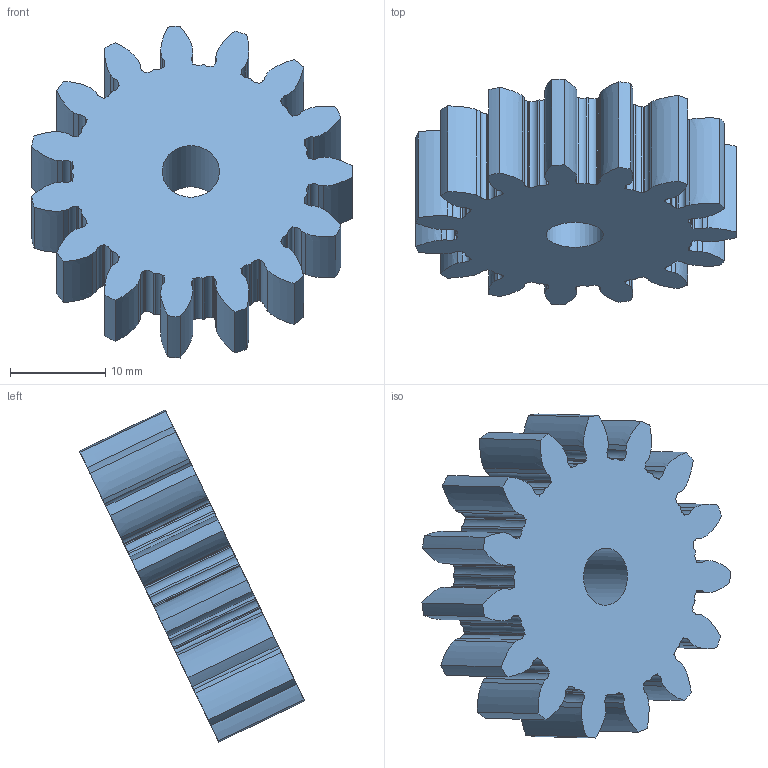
import cadquery as cq
import math

MODULE = 2.0
TEETH = 15
PRESSURE_ANGLE = 20.0
ADDENDUM = 1.0 * MODULE
DEDENDUM = 1.25 * MODULE
FACE_WIDTH = 10.0
BORE_DIAMETER = 6.01

AXIS_TILT = 25.6

RELIEF_RADIUS = 0.38 * MODULE
RELIEF_CENTER_RADIUS = 13.13
RELIEF_OFFSET = math.radians(2.44)

INVOLUTE_STEPS = 8

PITCH_RADIUS = MODULE * TEETH / 2
TIP_RADIUS = PITCH_RADIUS + ADDENDUM
ROOT_RADIUS = PITCH_RADIUS - DEDENDUM
BASE_RADIUS = PITCH_RADIUS * math.cos(math.radians(PRESSURE_ANGLE))
PITCH_STEP = 2 * math.pi / TEETH
HALF_STEP = PITCH_STEP / 2
RELIEF_ANGLE = HALF_STEP - RELIEF_OFFSET


def polar(radius, angle):
    return (radius * math.cos(angle), radius * math.sin(angle))


def involute_angle(radius):
    """Polar angle swept by the involute from the base circle to the radius."""
    pressure = math.acos(BASE_RADIUS / radius)
    return math.tan(pressure) - pressure


BASE_HALF_ANGLE = PITCH_STEP / 4 + involute_angle(PITCH_RADIUS)

RELIEF_ACROSS = RELIEF_CENTER_RADIUS * math.sin(RELIEF_ANGLE - BASE_HALF_ANGLE)
RELIEF_ALONG = RELIEF_CENTER_RADIUS * math.cos(RELIEF_ANGLE - BASE_HALF_ANGLE)


def flank_points():
    """(radius, angle from the tooth centre) along one flank, base to tip."""
    points = []
    for step in range(INVOLUTE_STEPS + 1):
        radius = BASE_RADIUS + (TIP_RADIUS - BASE_RADIUS) * step / INVOLUTE_STEPS
        points.append((radius, BASE_HALF_ANGLE - involute_angle(radius)))
    return points


def relief_crossings():
    """Where the relief circle crosses the root circle and the radial lower flank.

    Returns the half angle between the two root crossings, seen from the gear
    axis, and the radii of the lower and upper flank crossings.
    """
    cosine = (ROOT_RADIUS**2 + RELIEF_CENTER_RADIUS**2 - RELIEF_RADIUS**2) / (
        2 * ROOT_RADIUS * RELIEF_CENTER_RADIUS
    )
    root_half_angle = math.acos(cosine)

    half_chord = math.sqrt(RELIEF_RADIUS**2 - RELIEF_ACROSS**2)
    return root_half_angle, RELIEF_ALONG - half_chord, RELIEF_ALONG + half_chord


def relief_side():
    """(radius, angle) of the relief point farthest into the tooth, square to the flank."""
    across = RELIEF_ACROSS - RELIEF_RADIUS
    return math.hypot(across, RELIEF_ALONG), BASE_HALF_ANGLE + math.atan2(across, RELIEF_ALONG)


def add_tooth(outline, center):
    """Continue the outline counter-clockwise over one tooth and the next root land.

    The relief circle dips below the root circle, leaves a narrow root land
    at the foot of the tooth and then undercuts the radial lower flank.
    """
    root_half_angle, lower_radius, upper_radius = relief_crossings()
    outer_angle = RELIEF_ANGLE + root_half_angle
    inner_angle = RELIEF_ANGLE - root_half_angle
    foot_angle = (inner_angle + BASE_HALF_ANGLE) / 2

    outer = (ROOT_RADIUS, outer_angle)
    bottom = (RELIEF_CENTER_RADIUS - RELIEF_RADIUS, RELIEF_ANGLE)
    inner = (ROOT_RADIUS, inner_angle)
    foot_middle = (ROOT_RADIUS, foot_angle)
    foot = (ROOT_RADIUS, BASE_HALF_ANGLE)
    lower = (lower_radius, BASE_HALF_ANGLE)
    side = relief_side()
    upper = (upper_radius, BASE_HALF_ANGLE)
    flank = flank_points()
    tip_corner_angle = flank[-1][1]

    def rising(point):
        return polar(point[0], center - point[1])

    def falling(point):
        return polar(point[0], center + point[1])

    outline = outline.threePointArc(rising(bottom), rising(inner))
    outline = outline.threePointArc(rising(foot_middle), rising(foot))
    outline = outline.lineTo(*rising(lower))
    outline = outline.threePointArc(rising(side), rising(upper))
    outline = outline.lineTo(*rising(flank[0]))
    outline = outline.spline([rising(point) for point in flank[1:]], includeCurrent=True)
    outline = outline.threePointArc(polar(TIP_RADIUS, center), polar(TIP_RADIUS, center + tip_corner_angle))
    outline = outline.spline([falling(point) for point in flank[-2::-1]], includeCurrent=True)
    outline = outline.lineTo(*falling(upper))
    outline = outline.threePointArc(falling(side), falling(lower))
    outline = outline.lineTo(*falling(foot))
    outline = outline.threePointArc(falling(foot_middle), falling(inner))
    outline = outline.threePointArc(falling(bottom), falling(outer))

    next_start = polar(ROOT_RADIUS, center + PITCH_STEP - outer_angle)
    return outline.threePointArc(polar(ROOT_RADIUS, center + HALF_STEP), next_start)


def make_gear(plane):
    """Gear centred on the plane origin, with the first tooth along the plane's X."""
    root_half_angle = relief_crossings()[0]
    start = polar(ROOT_RADIUS, -RELIEF_ANGLE - root_half_angle)
    back_face = cq.Workplane(plane).workplane(offset=-FACE_WIDTH / 2)
    outline = back_face.moveTo(*start)
    for tooth in range(TEETH):
        outline = add_tooth(outline, tooth * PITCH_STEP)
    return outline.close().extrude(FACE_WIDTH)


def cut_bore(gear, plane):
    back_face = cq.Workplane(plane).workplane(offset=-FACE_WIDTH / 2)
    bore = back_face.circle(BORE_DIAMETER / 2).extrude(FACE_WIDTH)
    return gear.cut(bore)


tilt = math.radians(AXIS_TILT)
gear_plane = cq.Plane(
    origin=(0, 0, 0),
    xDir=(1, 0, 0),
    normal=(0, -math.cos(tilt), math.sin(tilt)),
)
result = cut_bore(make_gear(gear_plane), gear_plane)